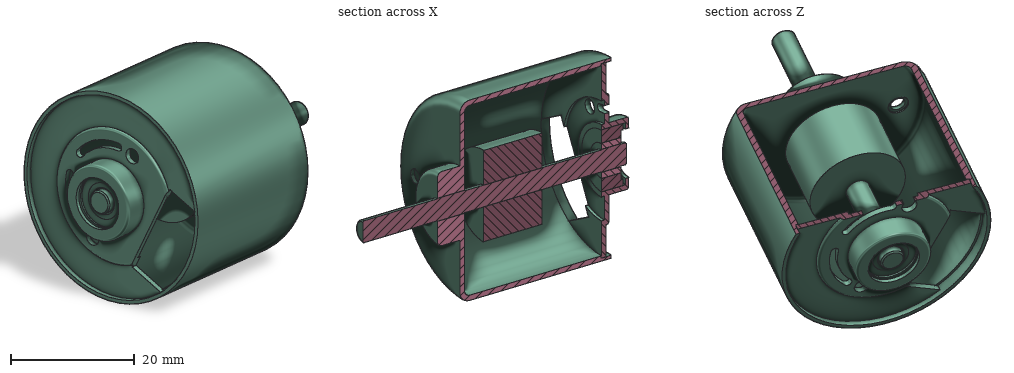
import cadquery as cq
import math


total_length = 52.6

housing_dia = 35.9
housing_bore_dia = 33.9
housing_length = 29.95
housing_fillet = 2.0
cap_seat_dia = 34.65
front_boss_dia = 13.35
front_boss_length = 4.4
front_boss_fillet = 0.95
mount_hole_dia = 2.5
mount_hole_x = 12.5
mount_recess_dia = 3.5
mount_recess_depth = 0.25

cap_sheet = 1.0
cap_recess = 0.95
disc_dia = 23.4
disc_raise = 0.6
disc_fillet = 0.5
rear_boss_dia = 13.0
rear_boss_length = 3.5
rear_boss_fillet = 0.5
lip_hole_dia = 8.8
lip_thickness = 0.7

window_angle = -27.0
window_offset = 8.4
window_width = 17.1
vent_radius = 9.0
vent_hole_dia = 2.6
slot_width = 1.35
slot_start_angle = 14.4
slot_end_angle = 70.7

holder_dia = rear_boss_dia - 2 * cap_sheet
holder_recess_dia = 8.8
holder_front_depth = 1.15
bushing_face_depth = 1.5
bushing_dia = 6.2
bushing_chamfer = 0.29

shaft_dia = 4.0
shaft_chamfer = 0.235
shaft_sink = 0.45
rotor_dia = 16.4
rotor_length = 11.55
rotor_floor_gap = 3.7

wall = (housing_dia - housing_bore_dia) / 2
floor_y = housing_length - wall
front_boss_end_y = housing_length + front_boss_length
cap_outer_y = cap_recess
cap_inner_y = cap_outer_y + cap_sheet
disc_outer_y = cap_outer_y - disc_raise
disc_inner_y = cap_inner_y - disc_raise
rear_boss_end_y = -rear_boss_length
holder_front_y = rear_boss_end_y + holder_front_depth
bushing_face_y = rear_boss_end_y + bushing_face_depth
shaft_rear_y = rear_boss_end_y + shaft_sink
shaft_front_y = rear_boss_end_y + total_length
rotor_front_y = floor_y - rotor_floor_gap
rotor_rear_y = rotor_front_y - rotor_length


def cylinder(dia, start_y, end_y):
    """Cylinder on the motor axis between two Y positions."""
    return cq.Workplane("XZ", origin=(0, start_y, 0)).circle(dia / 2).extrude(start_y - end_y)


def polar(radius, angle):
    """X and Z of a point at a radius and an angle (degrees) around the axis."""
    turn = math.radians(angle)
    return (radius * math.cos(turn), radius * math.sin(turn))


def make_mount_hole():
    hole = cylinder(mount_hole_dia, floor_y, housing_length)
    recess = cylinder(mount_recess_dia, floor_y, floor_y + mount_recess_depth)
    return hole.union(recess).translate((mount_hole_x, 0, 0))


def make_housing():
    can = cylinder(housing_dia, 0, housing_length).faces(">Y").edges().fillet(housing_fillet)
    boss = cylinder(front_boss_dia, floor_y, front_boss_end_y)
    boss = boss.faces(">Y").edges().fillet(front_boss_fillet)
    cavity = cylinder(housing_bore_dia, 0, floor_y)
    cavity = cavity.faces(">Y").edges().fillet(housing_fillet - wall)
    cap_seat = cylinder(cap_seat_dia, 0, cap_inner_y)
    shaft_bore = cylinder(shaft_dia, 0, front_boss_end_y)
    return can.cut(cavity).union(boss).cut(cap_seat).cut(shaft_bore).cut(make_mount_hole())


def make_window():
    return (
        cq.Workplane("XZ", origin=(0, cap_inner_y, 0))
        .transformed(rotate=(0, 0, window_angle))
        .center(window_offset + housing_dia / 2, 0)
        .rect(housing_dia, window_width)
        .extrude(cap_inner_y - disc_outer_y)
    )


def make_vent_slot(start, end):
    """Curved slot with round ends between two angles around the axis."""
    mid = (start + end) / 2
    inner = vent_radius - slot_width / 2
    outer = vent_radius + slot_width / 2
    end_reach = math.degrees(slot_width / 2 / vent_radius)
    return (
        cq.Workplane("XZ", origin=(0, cap_inner_y, 0))
        .moveTo(*polar(inner, start))
        .threePointArc(polar(inner, mid), polar(inner, end))
        .threePointArc(polar(vent_radius, end + end_reach), polar(outer, end))
        .threePointArc(polar(outer, mid), polar(outer, start))
        .threePointArc(polar(vent_radius, start - end_reach), polar(inner, start))
        .close()
        .extrude(cap_inner_y - disc_outer_y)
    )


def make_vent_hole(angle):
    x, z = polar(vent_radius, angle)
    return cylinder(vent_hole_dia, disc_outer_y, cap_inner_y).translate((x, 0, z))


def make_cap():
    plate = cylinder(cap_seat_dia, cap_outer_y, cap_inner_y)
    disc = cylinder(disc_dia, disc_outer_y, cap_inner_y).faces("<Y").edges().fillet(disc_fillet)
    disc_hollow = cylinder(disc_dia - 2 * cap_sheet, disc_inner_y, cap_inner_y)
    boss = cylinder(rear_boss_dia, rear_boss_end_y, cap_inner_y)
    boss = boss.faces("<Y").edges().fillet(rear_boss_fillet)
    lip_hole = cylinder(lip_hole_dia, rear_boss_end_y, cap_inner_y)
    holder_bore = cylinder(holder_dia, rear_boss_end_y + lip_thickness, cap_inner_y)

    cap = plate.union(disc).cut(disc_hollow).union(boss).cut(lip_hole).cut(holder_bore)
    cap = cap.cut(make_window())

    opposite = window_angle + 180
    cap = cap.cut(make_vent_slot(opposite + slot_start_angle, opposite + slot_end_angle))
    cap = cap.cut(make_vent_slot(opposite - slot_end_angle, opposite - slot_start_angle))
    for quarter_turn in (90, -90):
        cap = cap.cut(make_vent_hole(window_angle + quarter_turn))
    return cap


def make_bearing_holder():
    """Ring in the rear boss that holds the bushing, with a recess facing the rear."""
    ring = cylinder(holder_dia, holder_front_y, cap_inner_y)
    recess = cylinder(holder_recess_dia, holder_front_y, bushing_face_y)
    return ring.cut(recess).cut(cylinder(bushing_dia, holder_front_y, cap_inner_y))


def make_bushing():
    """Plain bearing whose face is flush with the bottom of the holder recess."""
    bushing = cylinder(bushing_dia, bushing_face_y, cap_inner_y)
    bushing = bushing.cut(cylinder(shaft_dia, bushing_face_y, cap_inner_y))
    bore_edge = cq.selectors.RadiusNthSelector(0)
    return bushing.faces("<Y").edges(bore_edge).chamfer(bushing_chamfer)


def make_shaft():
    shaft = cylinder(shaft_dia, shaft_rear_y, shaft_front_y)
    return shaft.faces("<Y or >Y").edges().chamfer(shaft_chamfer)


def make_rotor():
    rotor = cylinder(rotor_dia, rotor_rear_y, rotor_front_y)
    return rotor.cut(cylinder(shaft_dia, rotor_rear_y, rotor_front_y))


housing = make_housing()
cap = make_cap()
bearing_holder = make_bearing_holder()
bushing = make_bushing()
shaft = make_shaft()
rotor = make_rotor()

result = cq.Compound.makeCompound(
    [
        housing.val(),
        cap.val(),
        bearing_holder.val(),
        bushing.val(),
        shaft.val(),
        rotor.val(),
    ]
)